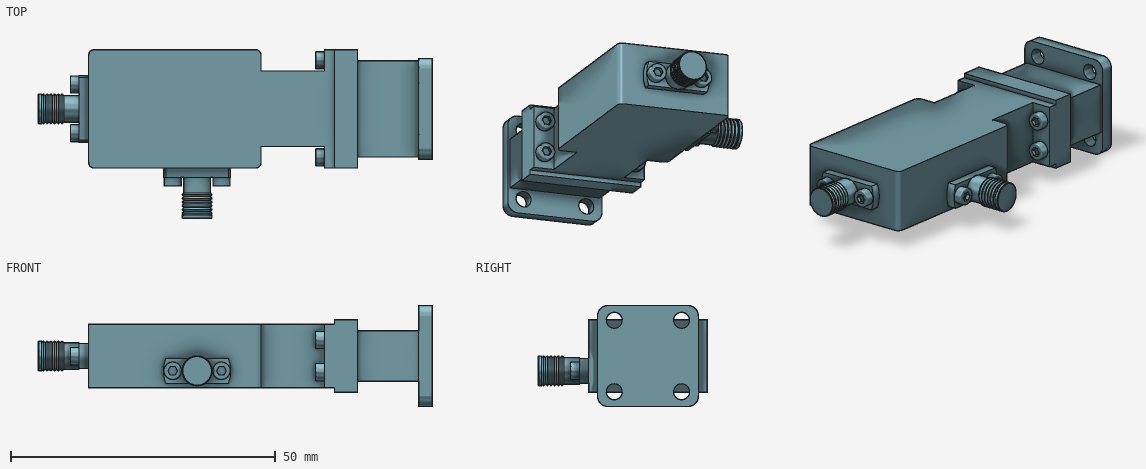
import cadquery as cq


housing_length = 32.6
housing_width = 22.4
housing_height = 12.0
housing_corner_radius = 1.1

neck_width = 14.3

clamp_start = 44.5
clamp_step_length = 1.9
clamp_end = 50.8
clamp_height = 13.7

block_width = 18.2
block_height = 9.6

overall_length = 74.4
connector_reach = 9.5
end_face = overall_length - connector_reach
end_flange_thickness = 2.6
end_flange_size = 19.1
end_flange_corner_radius = 2.0
end_flange_hole_diameter = 3.0
end_flange_hole_spacing_y = 12.7
end_flange_hole_spacing_z = 13.46

head_diameter = 3.3
head_height = 1.65
head_edge_radius = 0.2
socket_corner_diameter = 1.85
socket_depth = 0.8
clamp_screw_spacing_y = 18.35
clamp_screw_spacing_z = 6.05

mount_diameter = 12.7
mount_height = 4.75
mount_thickness = 1.75
mount_screw_spacing = 9.2
barrel_diameter = 5.1
thread_diameter = 5.65
thread_pitch = 0.7
thread_ridges = 6
tip_lip_length = 0.65
tip_chamfer = 0.12
side_connector_x = 20.5
side_connector_z = -2.8


def box_along_x(start, end, width, height):
    """Box centred on the X axis that spans from start to end."""
    return (
        cq.Workplane("YZ", origin=(start, 0, 0))
        .rect(width, height)
        .extrude(end - start)
    )


def screw_head(plane):
    """Cylinder head on a plane, with a rounded rim and a hexagon socket."""
    head = (
        cq.Workplane(plane)
        .circle(head_diameter / 2)
        .extrude(head_height)
        .faces(cq.selectors.DirectionMinMaxSelector(plane.zDir))
        .edges()
        .fillet(head_edge_radius)
    )
    socket = (
        cq.Workplane(plane)
        .workplane(offset=head_height - socket_depth)
        .polygon(6, socket_corner_diameter)
        .extrude(socket_depth)
    )
    return head.cut(socket)


def shifted_plane(plane, x, y, z):
    """Copy of a plane with its origin moved in the plane's own directions."""
    origin = plane.toWorldCoords((x, y, z))
    return cq.Plane(origin=origin, xDir=plane.xDir, normal=plane.zDir)


def threaded_barrel(plane):
    """Plain barrel above the mount plate, V-shaped thread ridges and a chamfered tip lip."""
    barrel_radius = barrel_diameter / 2
    thread_radius = thread_diameter / 2
    lip_start = connector_reach - tip_lip_length
    thread_start = lip_start - thread_ridges * thread_pitch
    profile = (
        cq.Workplane("XZ")
        .moveTo(0, mount_thickness)
        .lineTo(barrel_radius, mount_thickness)
        .lineTo(barrel_radius, thread_start)
    )
    for ridge in range(thread_ridges):
        root = thread_start + ridge * thread_pitch
        profile = profile.lineTo(thread_radius, root + thread_pitch / 2)
        profile = profile.lineTo(barrel_radius, root + thread_pitch)
    barrel = (
        profile.lineTo(thread_radius, lip_start)
        .lineTo(thread_radius, connector_reach - tip_chamfer)
        .lineTo(thread_radius - tip_chamfer, connector_reach)
        .lineTo(0, connector_reach)
        .close()
        .revolve(360, (0, 0, 0), (0, 1, 0))
    )
    return cq.Workplane(barrel.val().moved(plane.location))


def connector(plane):
    """Two-screw coaxial connector that stands on a plane, screws along its X."""
    mount = cq.Workplane(plane).circle(mount_diameter / 2).extrude(mount_thickness)
    mount_bar = cq.Workplane(plane).rect(mount_diameter, mount_height).extrude(mount_thickness)
    body = mount.intersect(mount_bar).union(threaded_barrel(plane))
    for side in (-1, 1):
        screw_plane = shifted_plane(plane, side * mount_screw_spacing / 2, 0, mount_thickness)
        body = body.union(screw_head(screw_plane))
    return body


def clamp_flange():
    """Flange with a lower front step, held by four screws beside the neck."""
    step_end = clamp_start + clamp_step_length
    flange = box_along_x(clamp_start, step_end, housing_width, housing_height)
    flange = flange.union(box_along_x(step_end, clamp_end, housing_width, clamp_height))
    for y_side in (-1, 1):
        for z_side in (-1, 1):
            center = (clamp_start, y_side * clamp_screw_spacing_y / 2, z_side * clamp_screw_spacing_z / 2)
            flange = flange.union(screw_head(cq.Plane(origin=center, xDir=(0, 1, 0), normal=(-1, 0, 0))))
    return flange


def end_flange():
    """Square flange with rounded corners and four through holes."""
    start = end_face - end_flange_thickness
    return (
        box_along_x(start, end_face, end_flange_size, end_flange_size)
        .edges("|X")
        .fillet(end_flange_corner_radius)
        .faces(">X")
        .workplane(centerOption="CenterOfBoundBox")
        .rarray(end_flange_hole_spacing_y, end_flange_hole_spacing_z, 2, 2)
        .hole(end_flange_hole_diameter)
    )


housing = (
    box_along_x(0, housing_length, housing_width, housing_height)
    .edges("|Z")
    .fillet(housing_corner_radius)
)
neck = box_along_x(housing_length - housing_corner_radius, clamp_start, neck_width, housing_height)
block = box_along_x(clamp_end, end_face - end_flange_thickness, block_width, block_height)

rear_connector_plane = cq.Plane(origin=(0, 0, 0), xDir=(0, 1, 0), normal=(-1, 0, 0))
side_connector_plane = cq.Plane(
    origin=(side_connector_x, -housing_width / 2, side_connector_z),
    xDir=(1, 0, 0),
    normal=(0, -1, 0),
)

result = (
    housing.union(neck)
    .union(clamp_flange())
    .union(block)
    .union(end_flange())
    .union(connector(rear_connector_plane))
    .union(connector(side_connector_plane))
)